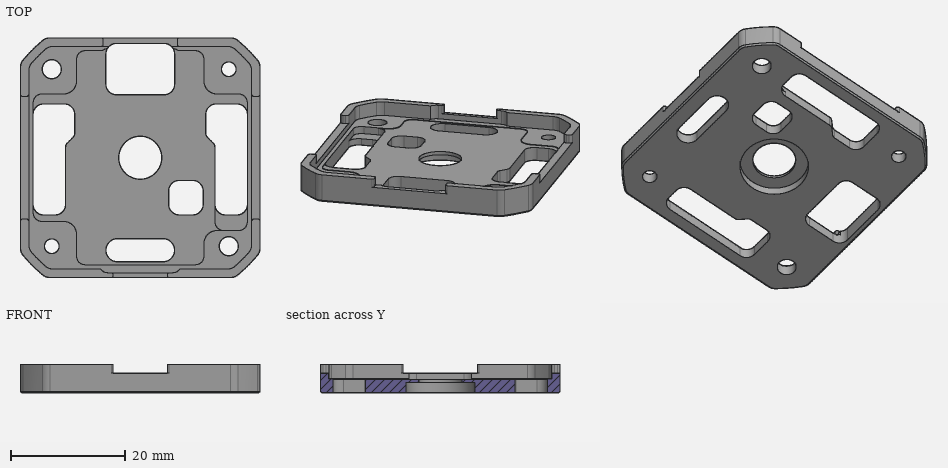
import cadquery as cq
SIZE = 42.0
HEIGHT = 5.0
WALL = 1.5
CORNER_RADIUS = 26.73
CORNER_BLEND = 2.0
BOTTOM_CHAMFER = 0.28
HALF = SIZE / 2
INNER_HALF = HALF - WALL

LEDGE_Z = 2.5
POCKET_Z = 2.4
RECESS_Z = 1.2
RIM_NOTCH_Z = 3.5

ROUND = 1.5
WINDOW_ROUND = 1.8

POCKET_HALF = 18.75
ARM_HALF = 11.15
PAD_ROUND = 2.3
LOW_ARM_Y = -12.75

CLEARANCE_WIDTH = 14.4
BACK_CLEARANCE_Y = 19.1
FRONT_CLEARANCE_Y = -20.15

SIDE_NOTCH_HALF = 10.7
BACK_NOTCH_HALF = 6.5
FRONT_NOTCH_HALF = 4.75
SIDE_NOTCH_ROUND = 0.5
END_NOTCH_ROUND = 0.3

SCREW_OFFSET = 15.5
CLEAR_DIA = 3.3
TAP_DIA = 2.53

CENTER_DIA = 7.5
COUNTERBORE_DIA = 12.0
CENTER_WEB = 0.6

WINDOW_TOP_Y = 9.4
WINDOW_BOTTOM_Y = -10.0
WINDOW_WIDE_X = 11.5
WINDOW_NARROW_X = 13.1
WINDOW_STEP_Y = 3.85
WINDOW_STEP_ROUND = 1.0

CONNECTOR_WIDTH = 12.0
BACK_WINDOW_Y = (11.05, 20.0)
SLOT_Y = (-18.2, -14.2)
SQUARE_X = (5.0, 11.0)
SQUARE_Y = (-10.0, -4.0)


def rounded_box(x_range, y_range, radius, z_low=0.0, z_high=HEIGHT):
    """Upright box with rounded vertical edges."""
    x_low, x_high = x_range
    y_low, y_high = y_range
    box = cq.Workplane("XY").box(x_high - x_low, y_high - y_low, z_high - z_low, centered=False)
    return box.edges("|Z").fillet(radius).translate((x_low, y_low, z_low))


def bowed_octagon(half, corner_radius, z_low):
    """Square prism whose corners are trimmed by a centred cylinder and blended."""
    height = HEIGHT - z_low
    square = cq.Workplane("XY").box(2 * half, 2 * half, height, centered=(True, True, False))
    cylinder = cq.Workplane("XY").circle(corner_radius).extrude(height)
    prism = square.intersect(cylinder).edges("|Z").fillet(CORNER_BLEND)
    return prism.translate((0, 0, z_low))


def shell():
    outer = bowed_octagon(HALF, CORNER_RADIUS, 0.0)
    outer = outer.faces("<Z").chamfer(BOTTOM_CHAMFER)
    return outer.cut(bowed_octagon(INNER_HALF, CORNER_RADIUS - WALL, LEDGE_Z))


def cross_pocket():
    """Shallow cross whose lower right arm is wider, with concave rounds at the pads."""
    height = HEIGHT - POCKET_Z
    low_y = {-1: -ARM_HALF, 1: LOW_ARM_Y}
    cross = rounded_box((-ARM_HALF, ARM_HALF), (-POCKET_HALF, POCKET_HALF), ROUND, 0.0, height)
    for side, bottom in low_y.items():
        arm = rounded_box((-POCKET_HALF, POCKET_HALF), (bottom, ARM_HALF), ROUND, 0.0, height)
        half_space = cq.Workplane("XY").box(SIZE, SIZE, SIZE).translate((side * HALF, 0, 0))
        cross = cross.union(arm.intersect(half_space))
    for side, bottom in low_y.items():
        for y in (bottom, ARM_HALF):
            corner = (side * ARM_HALF, y, height / 2)
            cross = cross.edges(cq.NearestToPointSelector(corner)).fillet(PAD_ROUND)
    return cross.translate((0, 0, POCKET_Z))


def connector_clearances():
    x_range = (-CLEARANCE_WIDTH / 2, CLEARANCE_WIDTH / 2)
    back = rounded_box(x_range, (0, BACK_CLEARANCE_Y), ROUND, POCKET_Z)
    front = rounded_box(x_range, (FRONT_CLEARANCE_Y, 0), ROUND, LEDGE_Z)
    return back.union(front)


def side_recess():
    """Deeper step that continues the right window toward the lower pad."""
    return rounded_box((WINDOW_NARROW_X, POCKET_HALF), (LOW_ARM_Y, 0), ROUND, RECESS_Z)


def rim_notch(half_width, wall, radius, turn):
    """Notch through the -Y rim, flared by the rounded rim ends, turned about Z."""
    outer_y = -HALF
    inner_y = outer_y + wall
    wide = half_width + radius
    notch = (
        cq.Workplane("XY").workplane(offset=RIM_NOTCH_Z)
        .moveTo(-wide, outer_y)
        .lineTo(wide, outer_y)
        .radiusArc((half_width, outer_y + radius), radius)
        .lineTo(half_width, inner_y - radius)
        .radiusArc((wide, inner_y), radius)
        .lineTo(-wide, inner_y)
        .radiusArc((-half_width, inner_y - radius), radius)
        .lineTo(-half_width, outer_y + radius)
        .radiusArc((-wide, outer_y), radius)
        .close()
        .extrude(HEIGHT - RIM_NOTCH_Z)
    )
    return notch.rotate((0, 0, 0), (0, 0, 1), turn)


def side_window():
    """Right-hand stepped window."""
    step = WINDOW_NARROW_X - WINDOW_WIDE_X
    narrow_y = WINDOW_STEP_Y - step
    window = (
        cq.Workplane("XY")
        .moveTo(POCKET_HALF, WINDOW_BOTTOM_Y)
        .lineTo(POCKET_HALF, WINDOW_TOP_Y)
        .lineTo(WINDOW_WIDE_X, WINDOW_TOP_Y)
        .lineTo(WINDOW_WIDE_X, WINDOW_STEP_Y)
        .lineTo(WINDOW_NARROW_X, narrow_y)
        .lineTo(WINDOW_NARROW_X, WINDOW_BOTTOM_Y)
        .close()
        .extrude(HEIGHT)
    )
    for corner in ((WINDOW_WIDE_X, WINDOW_STEP_Y), (WINDOW_NARROW_X, narrow_y)):
        edge = cq.NearestToPointSelector((*corner, HEIGHT / 2))
        window = window.edges(edge).fillet(WINDOW_STEP_ROUND)
    for x, y in (
        (POCKET_HALF, WINDOW_BOTTOM_Y),
        (POCKET_HALF, WINDOW_TOP_Y),
        (WINDOW_WIDE_X, WINDOW_TOP_Y),
        (WINDOW_NARROW_X, WINDOW_BOTTOM_Y),
    ):
        edge = cq.NearestToPointSelector((x, y, HEIGHT / 2))
        window = window.edges(edge).fillet(WINDOW_ROUND)
    return window


def connector_windows():
    x_range = (-CONNECTOR_WIDTH / 2, CONNECTOR_WIDTH / 2)
    slot_width = SLOT_Y[1] - SLOT_Y[0]
    slot_center = (SLOT_Y[0] + SLOT_Y[1]) / 2
    slot = (
        cq.Workplane("XY").center(0, slot_center)
        .slot2D(CONNECTOR_WIDTH, slot_width)
        .extrude(HEIGHT)
    )
    return rounded_box(x_range, BACK_WINDOW_Y, WINDOW_ROUND).union(slot)


def screw_holes():
    def diagonal_pair(direction, diameter):
        points = [(s * SCREW_OFFSET, s * direction * SCREW_OFFSET) for s in (-1, 1)]
        return cq.Workplane("XY").pushPoints(points).circle(diameter / 2).extrude(HEIGHT)

    return diagonal_pair(-1, CLEAR_DIA).union(diagonal_pair(1, TAP_DIA))


def center_hole():
    through = cq.Workplane("XY").circle(CENTER_DIA / 2).extrude(HEIGHT)
    counterbore = cq.Workplane("XY").circle(COUNTERBORE_DIA / 2).extrude(POCKET_Z - CENTER_WEB)
    return through.union(counterbore)


result = shell()
result = result.cut(cross_pocket())
result = result.cut(connector_clearances())
result = result.cut(side_recess())

front_wall = HALF + FRONT_CLEARANCE_Y
result = result.cut(rim_notch(FRONT_NOTCH_HALF, front_wall, END_NOTCH_ROUND, 0))
result = result.cut(rim_notch(BACK_NOTCH_HALF, WALL, END_NOTCH_ROUND, 180))
for turn in (90, 270):
    result = result.cut(rim_notch(SIDE_NOTCH_HALF, WALL, SIDE_NOTCH_ROUND, turn))

right_window = side_window()
result = result.cut(right_window).cut(right_window.mirror("YZ"))
result = result.cut(connector_windows())
result = result.cut(rounded_box(SQUARE_X, SQUARE_Y, WINDOW_ROUND))
result = result.cut(screw_holes())
result = result.cut(center_hole())